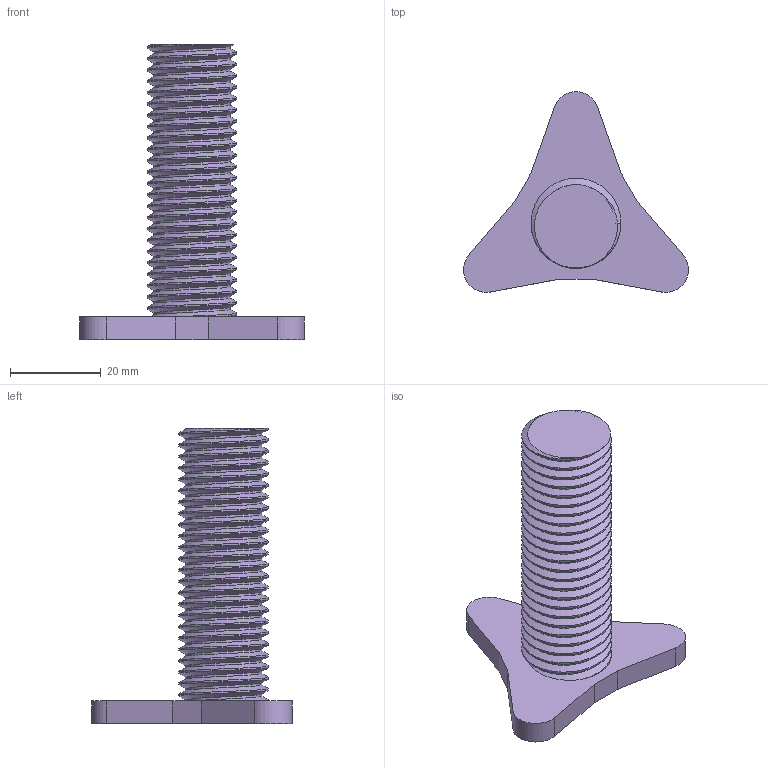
import cadquery as cq
import math

plate_thickness = 5.0
arm_count = 3
arm_reach = 22.825
arm_tip_radius = 5.0
waist_distance = 13.5
waist_length = 7.25
plate_center_y = 1.25

stud_length = 60.0
pitch = 2.5
major_diameter = 19.79
minor_diameter = 16.94
pitch_diameter = 18.249
flank_half_angle = 30.0
crest_start_angle = 270.0
overrun_turns = 2


def rotated(point, degrees):
    """The point turned counterclockwise about the origin."""
    angle = math.radians(degrees)
    x, y = point
    return (
        x * math.cos(angle) - y * math.sin(angle),
        x * math.sin(angle) + y * math.cos(angle),
    )


def make_plate():
    """Arms with round tips, joined by flats and by edges tangent to the tips."""
    arm_angle = 360 / arm_count
    waist_x, waist_y = rotated((-waist_length / 2, waist_distance), -arm_angle / 2)
    rise_from_tip_center = waist_y - arm_reach
    waist_to_tip_center = math.hypot(waist_x, rise_from_tip_center)
    tangent_angle = (
        math.atan2(rise_from_tip_center, waist_x)
        + math.acos(arm_tip_radius / waist_to_tip_center)
    )
    tangent_x = arm_tip_radius * math.cos(tangent_angle)
    tangent_y = arm_reach + arm_tip_radius * math.sin(tangent_angle)
    tip = (0, arm_reach + arm_tip_radius)

    outline = cq.Workplane("XY").moveTo(*rotated((-waist_x, waist_y), -arm_angle))
    for arm in range(arm_count):
        turn = arm * arm_angle
        outline = (
            outline.lineTo(*rotated((waist_x, waist_y), turn))
            .lineTo(*rotated((tangent_x, tangent_y), turn))
            .threePointArc(rotated(tip, turn), rotated((-tangent_x, tangent_y), turn))
            .lineTo(*rotated((-waist_x, waist_y), turn))
        )
    plate = outline.close().extrude(plate_thickness)
    return plate.translate((0, plate_center_y, 0))


def make_threaded_rod():
    """Rod that overruns the stud, enclosed by one helical strip per profile side and turn."""
    flank_slope = math.tan(math.radians(flank_half_angle))
    root_radius = minor_diameter / 2
    crest_radius = major_diameter / 2
    pitch_radius = pitch_diameter / 2
    root_half_width = pitch / 4 - (pitch_radius - root_radius) * flank_slope
    crest_half_width = pitch / 4 - (crest_radius - pitch_radius) * flank_slope

    profile = [
        (root_radius, root_half_width),
        (crest_radius, pitch / 2 - crest_half_width),
        (crest_radius, pitch / 2 + crest_half_width),
        (root_radius, pitch - root_half_width),
        (root_radius, pitch + root_half_width),
    ]
    turns = math.ceil(stud_length / pitch) + 2 * overrun_turns
    bottom_z = profile[0][1]
    top_z = bottom_z + turns * pitch

    def helix_turn(radius, z):
        return cq.Wire.makeHelix(pitch, pitch, radius).translate(cq.Vector(0, 0, z)).Edges()[0]

    def end_ramp(z):
        axis_edge = cq.Edge.makeLine(cq.Vector(0, 0, z), cq.Vector(0, 0, z + pitch))
        return cq.Face.makeRuledSurface(axis_edge, helix_turn(root_radius, z))

    def end_step(z):
        rise = z - bottom_z
        points = [cq.Vector(0, 0, z)]
        points += [cq.Vector(radius, 0, height + rise) for radius, height in profile]
        points.append(cq.Vector(0, 0, z + pitch))
        return cq.Face.makeFromWires(cq.Wire.makePolygon(points, close=True))

    faces = [end_ramp(bottom_z), end_step(bottom_z), end_ramp(top_z), end_step(top_z)]
    for turn in range(turns):
        for (lower_radius, lower_z), (upper_radius, upper_z) in zip(profile, profile[1:]):
            lower_edge = helix_turn(lower_radius, lower_z + turn * pitch)
            upper_edge = helix_turn(upper_radius, upper_z + turn * pitch)
            faces.append(cq.Face.makeRuledSurface(lower_edge, upper_edge))
    rod = cq.Solid.makeSolid(cq.Shell.makeShell(faces)).fix()

    crest_rise = pitch * (360 - crest_start_angle) / 360
    rod_shift = plate_thickness + crest_rise - pitch / 2 - overrun_turns * pitch
    return cq.Workplane(obj=rod).translate((0, 0, rod_shift))


def make_stud():
    """The threaded rod trimmed flat at the plate and at the free end."""
    trim_width = 2 * major_diameter
    trim_block = (
        cq.Workplane("XY")
        .workplane(offset=plate_thickness)
        .rect(trim_width, trim_width)
        .extrude(stud_length)
    )
    return make_threaded_rod().intersect(trim_block, clean=False)


result = make_plate().union(make_stud(), clean=False)